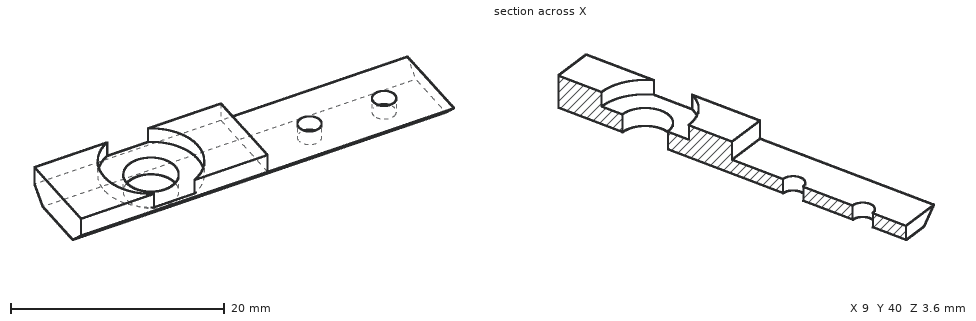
import cadquery as cq

length = 40.0
width = 9.0
head_height = 3.6
bevel = 1.6
tail_height = bevel
head_length = length / 2

bore_diameter = 5.2
counterbore_diameter = 10.0
counterbore_floor = 2.0
bore_y = head_length / 2

small_hole_diameter = 2.3
small_hole_spacing = 8.0
first_small_hole_y = 27.0
small_hole_positions = [(0, first_small_hole_y + i * small_hole_spacing) for i in range(2)]


def bar():
    """Full-height bar along Y with both lower long edges bevelled."""
    half_width = width / 2
    half_base = half_width - bevel
    profile = [
        (-half_base, 0),
        (half_base, 0),
        (half_width, bevel),
        (half_width, head_height),
        (-half_width, head_height),
        (-half_width, bevel),
    ]
    return cq.Workplane("XZ").polyline(profile).close().extrude(-length)


def tail_step():
    """Material removed above the thin tail."""
    return cq.Workplane("XY").box(
        width, length - head_length, head_height - tail_height, centered=(True, False, False)
    ).translate((0, head_length, tail_height))


def vertical_cylinders(positions, diameter, bottom):
    """Cutting cylinders from the given height up to the top of the head."""
    return (
        cq.Workplane("XY", origin=(0, 0, bottom))
        .pushPoints(positions)
        .circle(diameter / 2)
        .extrude(head_height - bottom)
    )


bore_positions = [(0, bore_y)]
result = (
    bar()
    .cut(tail_step())
    .cut(vertical_cylinders(bore_positions, bore_diameter, 0))
    .cut(vertical_cylinders(bore_positions, counterbore_diameter, counterbore_floor))
    .cut(vertical_cylinders(small_hole_positions, small_hole_diameter, 0))
)